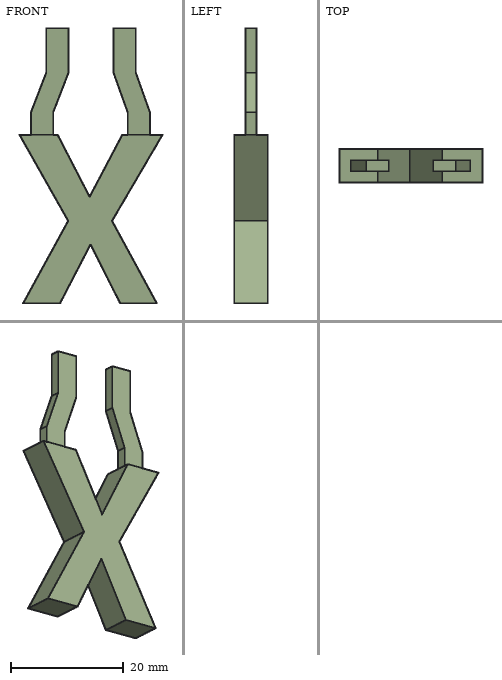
import cadquery as cq

body_height = 30.0
body_depth = 6.0
body_half_width = 12.74

upper_left_inner_x = -5.92
upper_right_inner_x = 5.55
lower_left_outer_x = -12.10
lower_left_inner_x = -5.50
lower_right_inner_x = 5.18
lower_right_outer_x = 11.73

top_notch = (-0.25, 19.00)
bottom_notch = (-0.09, 10.45)
waist_height = 14.68
left_waist = (-4.08, waist_height)
right_waist = (3.76, waist_height)

lead_width = 4.0
lead_depth = 2.0
lead_top = 48.99
lead_foot_length = 4.0
lead_slope_height = 7.0
lead_tip_inner_x = 4.0
left_foot_inner_x = 6.7
right_foot_inner_x = 6.5


def extrude_profile(points, depth):
    """Extrude a closed XZ outline symmetrically about the Y = 0 plane."""
    return cq.Workplane("XZ").polyline(points).close().extrude(depth / 2, both=True)


def make_body():
    """X-shaped plate with flat arm ends at the top and bottom."""
    outline = [
        (-body_half_width, body_height),
        (upper_left_inner_x, body_height),
        top_notch,
        (upper_right_inner_x, body_height),
        (body_half_width, body_height),
        right_waist,
        (lower_right_outer_x, 0),
        (lower_right_inner_x, 0),
        bottom_notch,
        (lower_left_inner_x, 0),
        (lower_left_outer_x, 0),
        left_waist,
    ]
    return extrude_profile(outline, body_depth)


def make_lead(side, foot_inner_x):
    """Cranked lead on the left (side = -1) or right (side = 1) arm."""
    lower_bend = body_height + lead_foot_length
    upper_bend = lower_bend + lead_slope_height
    inner_edge = [
        (foot_inner_x, body_height),
        (foot_inner_x, lower_bend),
        (lead_tip_inner_x, upper_bend),
        (lead_tip_inner_x, lead_top),
    ]
    outer_edge = [(x + lead_width, z) for x, z in reversed(inner_edge)]
    outline = [(side * x, z) for x, z in inner_edge + outer_edge]
    return extrude_profile(outline, lead_depth)


body = make_body()
leads = [
    make_lead(side, foot_inner_x)
    for side, foot_inner_x in ((-1, left_foot_inner_x), (1, right_foot_inner_x))
]

result = cq.Compound.makeCompound([body.val(), *[lead.val() for lead in leads]])